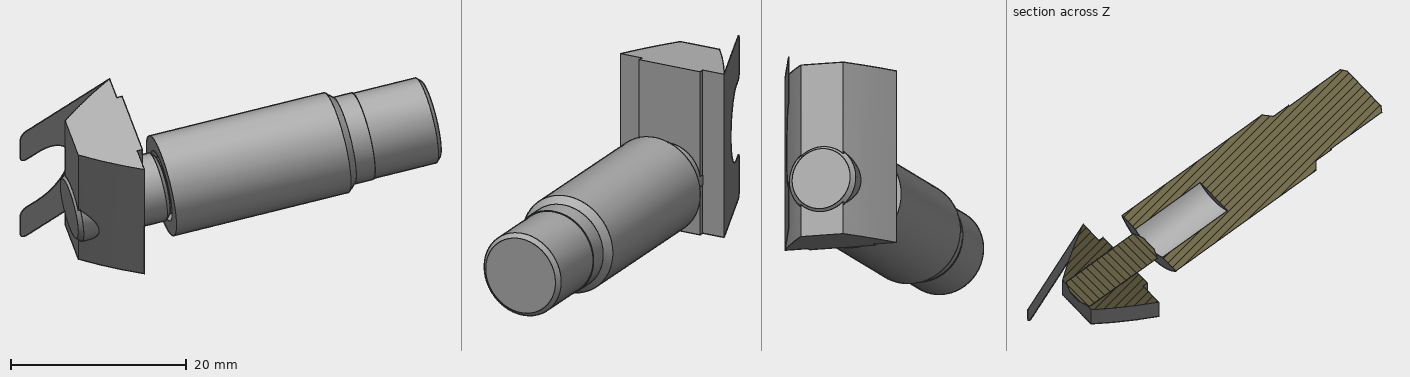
import cadquery as cq
import math


overall_length = 48.15

spigot_radius = 10.0 / 2
collar_radius = 10.2 / 2
barrel_radius = 11.75 / 2
barrel_length = 20.8
shoulder_end = 21.65
collar_end = 23.93
sleeve_length = 31.95
spigot_chamfer = 0.5
bore_radius = 8.3 / 2
bore_depth = 9.65

screw_radius = 8.0 / 2
screw_end_radius = 7.0 / 2
neck_radius = 6.65 / 2
screw_length = 10.98
screw_chamfer = screw_radius - screw_end_radius

block_height = 20.0
block_center_z = 3.45
block_half_width = 6.75
tongue_half_width = 3.95
tongue_y = -3.45
shoulder_y = -4.1
nose_y = -10.7
nose_half_width = 2.55
flank_mid_x = 4.75
flank_mid_y = -7.45

leaf_tip_x = -2.1
leaf_tip_y = sleeve_length - overall_length
leaf_thickness = 0.05
leaf_corner_radius = 0.95
leaf_slot_radius = 4.55
leaf_slot_start_y = -9.6


def revolve_about_y(points):
    """Turn a closed (radius, y) outline around the Y axis."""
    return cq.Workplane("XY").polyline(points).close().revolve(360, (0, 0, 0), (0, 1, 0))


def make_sleeve():
    """Stepped sleeve with a blind clearance bore in its front face."""
    return revolve_about_y([
        (bore_radius, 0),
        (barrel_radius, 0),
        (barrel_radius, barrel_length),
        (collar_radius, shoulder_end),
        (collar_radius, collar_end),
        (spigot_radius, collar_end),
        (spigot_radius, sleeve_length - spigot_chamfer),
        (spigot_radius - spigot_chamfer, sleeve_length),
        (0, sleeve_length),
        (0, bore_depth),
        (bore_radius, bore_depth),
    ])


def make_screw():
    """Screw shank chamfered at both ends, with a neck that reaches the bore floor."""
    return revolve_about_y([
        (0, bore_depth),
        (neck_radius, bore_depth),
        (neck_radius, 0),
        (screw_end_radius, 0),
        (screw_radius, -screw_chamfer),
        (screw_radius, -screw_length + screw_chamfer),
        (screw_end_radius, -screw_length),
        (0, -screw_length),
    ])


def make_leaf():
    """Thin slanting leaf with a round-ended slot open at its tip."""
    run_x = leaf_tip_x + block_half_width
    run_y = leaf_tip_y - shoulder_y
    length = math.hypot(run_x, run_y)
    slot_start = length * (leaf_slot_start_y - shoulder_y) / run_y
    slot_center = slot_start + leaf_slot_radius
    plane = cq.Plane(
        origin=(-block_half_width, shoulder_y, block_center_z),
        xDir=(run_x, run_y, 0),
        normal=(-run_y, run_x, 0),
    )
    half_height = block_height / 2
    return (
        cq.Workplane(plane)
        .moveTo(0, -half_height)
        .lineTo(length, -half_height)
        .lineTo(length, -leaf_slot_radius)
        .lineTo(slot_center, -leaf_slot_radius)
        .threePointArc((slot_start, 0), (slot_center, leaf_slot_radius))
        .lineTo(length, leaf_slot_radius)
        .lineTo(length, half_height)
        .lineTo(0, half_height)
        .close()
        .extrude(leaf_thickness)
        .edges(cq.selectors.ParallelDirSelector(plane.zDir))
        .edges("<Y")
        .fillet(leaf_corner_radius)
    )


def make_block():
    """Tapered slot block with a rear tongue, its leaf spring and the screw hole."""
    body = (
        cq.Workplane("XY")
        .workplane(offset=block_center_z - block_height / 2)
        .moveTo(-nose_half_width, nose_y)
        .lineTo(nose_half_width, nose_y)
        .threePointArc((flank_mid_x, flank_mid_y), (block_half_width, shoulder_y))
        .lineTo(tongue_half_width, shoulder_y)
        .lineTo(tongue_half_width, tongue_y)
        .lineTo(-tongue_half_width, tongue_y)
        .lineTo(-tongue_half_width, shoulder_y)
        .lineTo(-block_half_width, shoulder_y)
        .threePointArc((-flank_mid_x, flank_mid_y), (-nose_half_width, nose_y))
        .close()
        .extrude(block_height)
    )
    return body.union(make_leaf()).cut(make_screw())


sleeve = make_sleeve()
screw = make_screw()
block = make_block()

result = cq.Compound.makeCompound([sleeve.val(), screw.val(), *block.solids().vals()])